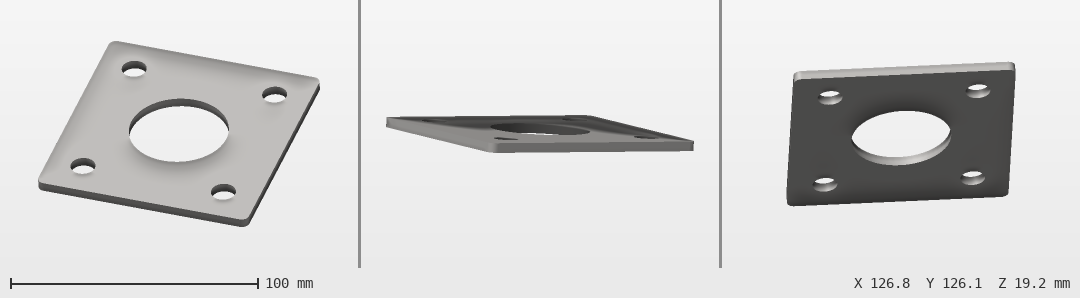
import cadquery as cq

length = 94.9
width = 89.9
thickness = 3.9
corner_radius = 3.0

bore_diameter = 40.5
bolt_diameter = 10.1
bolt_spacing_long = 64.9
bolt_spacing_wide = 60.0

spin = -36.0
tilt = -6.9

plate = (
    cq.Workplane("XY")
    .box(length, width, thickness)
    .edges("|Z")
    .fillet(corner_radius)
)

plate = plate.faces(">Z").workplane().hole(bore_diameter)
plate = (
    plate.faces(">Z")
    .workplane()
    .rect(bolt_spacing_long, bolt_spacing_wide, forConstruction=True)
    .vertices()
    .hole(bolt_diameter)
)

result = plate.rotate((0, 0, 0), (0, 0, 1), spin).rotate((0, 0, 0), (0, 1, 0), tilt)